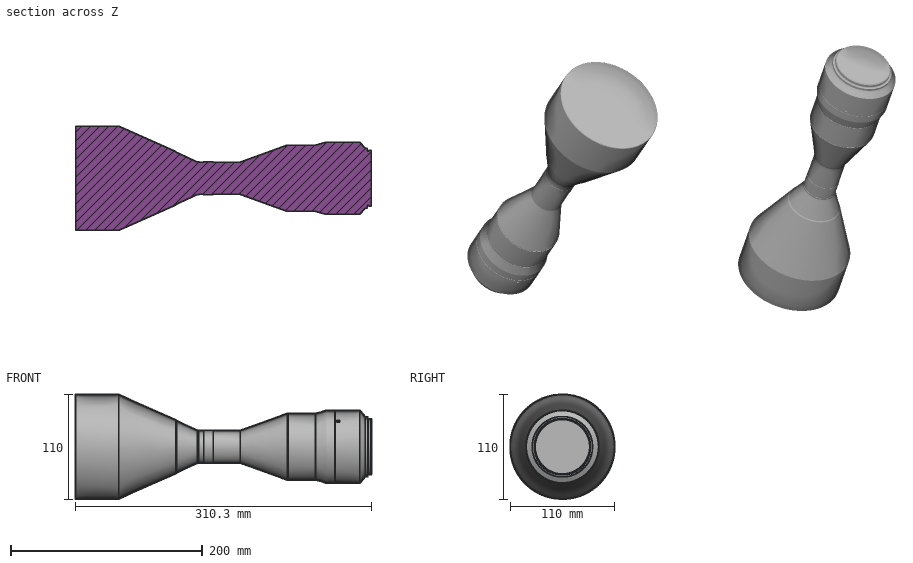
import cadquery as cq
import math

LENGTH = 310.3
HEAD_RADIUS = 55.0
HEAD_LENGTH = 45.3
HEAD_CHAMFER = 0.5

CONE_JOINT_X = 105.2
CONE_JOINT_RADIUS = 28.2
REAR_CONE_RADIUS = 27.5

NECK_START = 127.5
NECK_END = 172.5
NECK_RADIUS = 17.0
COLLAR_RADIUS = 17.5
COLLAR_START = 134.5
COLLAR_END = 144.3
LIP_LENGTH = 2.0

BARREL_START = 222.2
BARREL_END = 252.0
BARREL_RADIUS = 35.0

MOUNT_START = 262.8
MOUNT_END = 298
MOUNT_RADIUS = 38.2

FLANGE_START = 303.5
FLANGE_END = 306.0
FLANGE_RADIUS = 31.5
SPIGOT_RADIUS = 29.5
SPIGOT_CHAMFER = 1.0

GROOVE_WIDTH = 1.0
GROOVE_DEPTH = 0.3
MOUNT_GROOVE_X = 271.5
SPIGOT_GROOVE_DEPTH = 1.0

SCREW_COUNT = 3
SCREW_FIRST_ANGLE = 15
SCREW_X = 275.2
SCREW_DIAMETER = 2.8
SCREW_DEPTH = 3


def turned_body():
    """Solid of revolution following the outer contour from head to spigot."""
    stations = [
        (0, 0),
        (0, HEAD_RADIUS - HEAD_CHAMFER),
        (HEAD_CHAMFER, HEAD_RADIUS),
        (HEAD_LENGTH, HEAD_RADIUS),
        (CONE_JOINT_X, CONE_JOINT_RADIUS),
        (CONE_JOINT_X + GROOVE_WIDTH, REAR_CONE_RADIUS - GROOVE_DEPTH),
        (NECK_START, COLLAR_RADIUS),
        (NECK_START + LIP_LENGTH, COLLAR_RADIUS),
        (NECK_START + LIP_LENGTH, NECK_RADIUS),
        (COLLAR_START, NECK_RADIUS),
        (COLLAR_START, COLLAR_RADIUS),
        (COLLAR_END, COLLAR_RADIUS),
        (COLLAR_END, NECK_RADIUS),
        (NECK_END, NECK_RADIUS),
        (BARREL_START, BARREL_RADIUS),
        (BARREL_END, BARREL_RADIUS),
        (MOUNT_START, MOUNT_RADIUS),
        (MOUNT_END, MOUNT_RADIUS),
        (FLANGE_START, FLANGE_RADIUS),
        (FLANGE_END, FLANGE_RADIUS),
        (FLANGE_END, SPIGOT_RADIUS),
        (LENGTH - SPIGOT_CHAMFER, SPIGOT_RADIUS),
        (LENGTH, SPIGOT_RADIUS - SPIGOT_CHAMFER),
        (LENGTH, 0),
    ]
    return cq.Workplane("XY").polyline(stations).close().revolve(360, (0, 0, 0), (1, 0, 0))


def ring_groove(start, surface_radius, depth):
    """Ring to cut away for a groove that begins at the given X."""
    return (
        cq.Workplane("YZ", origin=(start, 0, 0))
        .circle(surface_radius + depth)
        .circle(surface_radius - depth)
        .extrude(GROOVE_WIDTH)
    )


def screw_hole(angle):
    """Blind radial hole bored inwards from the mount surface."""
    direction = cq.Vector(0, math.cos(math.radians(angle)), math.sin(math.radians(angle)))
    floor = cq.Vector(SCREW_X, 0, 0) + direction * (MOUNT_RADIUS - SCREW_DEPTH)
    return cq.Solid.makeCylinder(SCREW_DIAMETER / 2, 2 * SCREW_DEPTH, floor, direction)


result = turned_body()

grooves = [
    (BARREL_START, BARREL_RADIUS, GROOVE_DEPTH),
    (BARREL_END - GROOVE_WIDTH, BARREL_RADIUS, GROOVE_DEPTH),
    (MOUNT_GROOVE_X, MOUNT_RADIUS, GROOVE_DEPTH),
    (FLANGE_END, SPIGOT_RADIUS, SPIGOT_GROOVE_DEPTH),
]
for start, surface_radius, depth in grooves:
    result = result.cut(ring_groove(start, surface_radius, depth))

for index in range(SCREW_COUNT):
    result = result.cut(screw_hole(SCREW_FIRST_ANGLE + index * 360 / SCREW_COUNT))